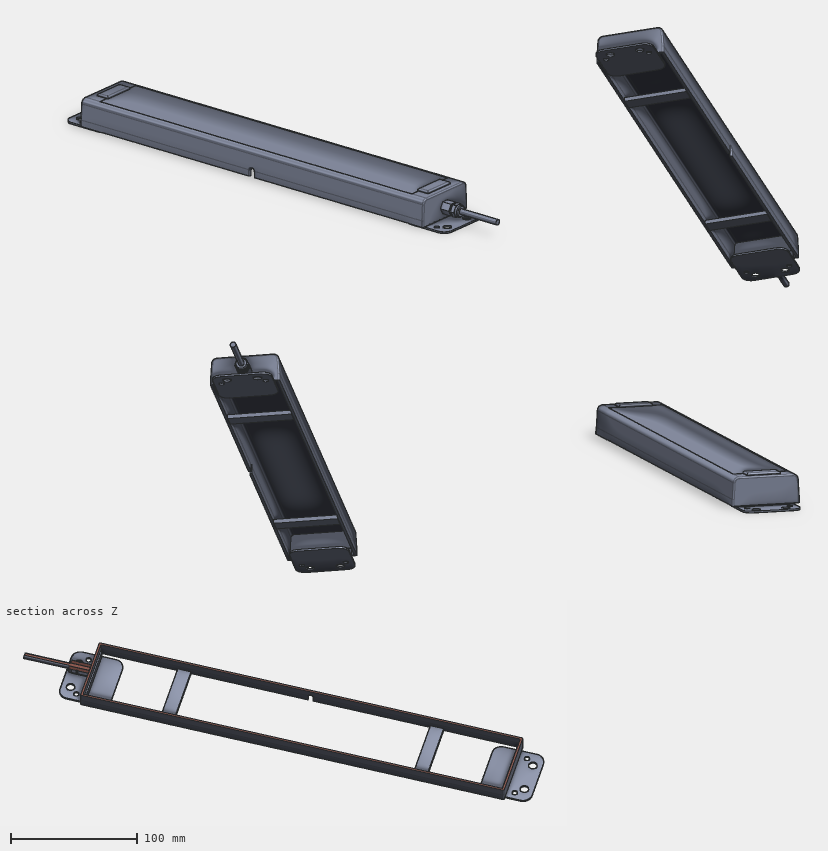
import cadquery as cq
import math

total_height = 27.5
foot_thickness = 1.5
housing_bottom = 2.5
housing_top = 26.0

housing_length = 350.0
housing_width = 56.0
wall_thickness = 2.0
skirt_top = 8.0
side_draft = 3.5
shoulder_radius = 4.5
end_radius = 1.3
panel_inset = 15.5
panel_depth = 0.2

bar_length = 11.0
bar_thickness = 3.5
bar_spacing = 208.5

pad_length = 11.0
pad_width = 28.0
pad_edge_radius = 1.5
pad_inset = 11.5

notch_radius = 2.0
notch_rim_radius = 1.3
notch_center_z = 7.0

feet_span = 389.7
foot_length = 42.5
foot_width = 48.0
foot_corner_radius = 7.5
large_hole_diameter = 6.8
large_hole_inset = 7.5
large_hole_y = 12.3
small_hole_diameter = 4.2
small_hole_inset = 14.0
small_hole_y = 18.0

total_length = 423.5
cable_diameter = 4.5
gland_z = 12.0
hex_across_flats = 10.0
hex_length = 8.5
groove_diameter = 9.5
groove_length = 1.3
nut_length = 4.0
cap_length = 3.0
cap_chamfer = 1.0

left_foot_edge = -total_length / 2
cable_tip = total_length / 2
center_x = left_foot_edge + feet_span / 2
housing_right = center_x + housing_length / 2
ends = (-1, 1)


def lean_at(z):
    """How far the drafted side has leaned in at height z."""
    return (z - skirt_top) * math.tan(math.radians(side_draft))


def section(length, inset=0.0):
    """Prism of the housing cross-section, drawn in by `inset` on the sides and the top."""
    half = housing_width / 2 - inset
    top = housing_top - inset
    prism = (
        cq.Workplane("YZ", origin=(center_x - length / 2, 0, 0))
        .polyline(
            [
                (-half, housing_bottom),
                (half, housing_bottom),
                (half, skirt_top),
                (half - lean_at(top), top),
                (lean_at(top) - half, top),
                (-half, skirt_top),
            ]
        )
        .close()
        .extrude(length)
    )
    return prism.edges("|X and >Z").fillet(shoulder_radius - inset)


def block(x_size, y_size, bottom, top, x, y=0.0):
    """Box centred on (x, y) that reaches from `bottom` to `top`."""
    base = cq.Workplane("XY", origin=(x, y, bottom))
    return base.box(x_size, y_size, top - bottom, centered=(True, True, False))


def make_shell():
    outer = section(housing_length)
    outer = outer.faces("<X or >X").edges("not <Z").fillet(end_radius)
    return outer.cut(section(housing_length - 2 * wall_thickness, wall_thickness))


def top_panel_recess():
    """Shallow recess over the flat of the top, between the two end strips."""
    fillet_reach = shoulder_radius * math.tan(math.radians(45 - side_draft / 2))
    flat_width = housing_width - 2 * (lean_at(housing_top) + fillet_reach)
    panel_length = housing_length - 2 * panel_inset
    return block(panel_length, flat_width, housing_top - panel_depth, housing_top, center_x)


def cut_notch(body):
    """Cut the notch through the front wall and round its outer rim."""
    front = -housing_width / 2
    arch = cq.Workplane("XZ", origin=(center_x, front, notch_center_z)).circle(notch_radius)
    legs = block(2 * notch_radius, 2 * wall_thickness, housing_bottom, notch_center_z, center_x, front)
    body = body.cut(arch.extrude(-2 * wall_thickness)).cut(legs)
    margin = notch_rim_radius / 2
    reach = notch_radius + margin
    rim = cq.selectors.BoxSelector(
        (center_x - reach, front - margin, housing_bottom + margin),
        (center_x + reach, front + margin, notch_center_z + reach),
    )
    return body.edges(rim).fillet(notch_rim_radius)


def make_housing():
    body = cut_notch(make_shell())
    body = body.cut(top_panel_recess())
    inner_width = housing_width - 2 * wall_thickness
    lip_x = housing_length / 2 - end_radius - wall_thickness / 2
    for end in ends:
        bar_x = center_x + end * bar_spacing / 2
        bar = block(bar_length, inner_width, foot_thickness, foot_thickness + bar_thickness, bar_x)
        lip = block(wall_thickness, foot_width, foot_thickness, skirt_top, center_x + end * lip_x)
        body = body.union(bar).union(lip)
        body = body.cut(make_pad(end))
    return body


def make_pad(end):
    """Pad that straddles the end of the top panel, seated at the panel's level."""
    pad_x = center_x + end * (housing_length / 2 - pad_inset)
    pad = block(pad_length, pad_width, housing_top - panel_depth, total_height, pad_x)
    return pad.faces(">Z").edges().fillet(pad_edge_radius)


def make_foot(end):
    outer = center_x + end * feet_span / 2
    foot = block(foot_length, foot_width, 0, foot_thickness, outer - end * foot_length / 2)
    foot = foot.edges("|Z").fillet(foot_corner_radius)
    for diameter, inset, y in (
        (large_hole_diameter, large_hole_inset, large_hole_y),
        (small_hole_diameter, small_hole_inset, small_hole_y),
    ):
        holes = (
            cq.Workplane("XY")
            .pushPoints([(outer - end * inset, y), (outer - end * inset, -y)])
            .circle(diameter / 2)
            .extrude(foot_thickness)
        )
        foot = foot.cut(holes)
    return foot


def rod(start_x, length, diameter):
    """Round bar on the cable axis."""
    return cq.Workplane("YZ", origin=(start_x, 0, gland_z)).circle(diameter / 2).extrude(length)


def hex_bar(start_x, length):
    """Hexagonal bar on the cable axis, with flats facing up and down."""
    across_corners = hex_across_flats / math.cos(math.radians(30))
    return cq.Workplane("YZ", origin=(start_x, 0, gland_z)).polygon(6, across_corners).extrude(length)


def make_gland():
    """Hexagonal body, groove, hexagonal nut and chamfered round cap, bored for the cable."""
    groove_start = housing_right + hex_length
    nut_start = groove_start + groove_length
    cap_start = nut_start + nut_length
    gland_length = cap_start + cap_length - housing_right
    cap = rod(cap_start, cap_length, hex_across_flats).faces(">X").chamfer(cap_chamfer)
    gland = hex_bar(housing_right, hex_length)
    gland = gland.union(rod(groove_start, groove_length, groove_diameter))
    gland = gland.union(hex_bar(nut_start, nut_length))
    gland = gland.union(cap)
    return gland.cut(rod(housing_right, gland_length, cable_diameter))


housing = make_housing()
pads = [make_pad(end) for end in ends]
feet = [make_foot(end) for end in ends]
gland = make_gland()
cable = rod(housing_right, cable_tip - housing_right, cable_diameter)

result = cq.Compound.makeCompound(
    [
        housing.val(),
        *[pad.val() for pad in pads],
        *[foot.val() for foot in feet],
        gland.val(),
        cable.val(),
    ]
)